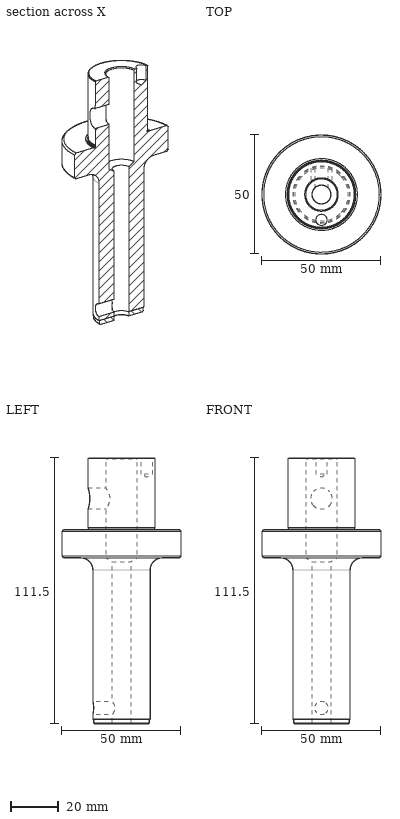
import cadquery as cq
import math

total_height = 111.5
spigot_height = 30.0
flange_height = 11.9
flange_top = total_height - spigot_height
flange_bottom = flange_top - flange_height

shank_radius = 12.0
shank_edge_chamfer = 0.3
shank_fillet = 5.0
flange_radius = 25.0
flange_chamfer = 0.8
spigot_radius = 14.0
spigot_chamfer = 0.3

groove_outer_radius = 15.0
groove_depth = 0.2
groove_taper = 0.7
groove_height = 0.9

bore_radius = 6.6
bore_chamfer = 0.5
through_radius = 3.9
drill_tip_angle = 118.0
bore_floor = flange_bottom

pin_hole_radius = 2.3
pin_hole_offset = 10.6
pin_hole_depth = 6.7

spigot_hole_radius = 4.5
spigot_hole_height = total_height - 17.1
shank_hole_radius = 2.8
shank_hole_height = 6.8

ring_radius = 11.7
ring_height = 1.9
ring_chamfer = 0.6


def drill_tip_height(large_radius, small_radius=0.0):
    """Height of the cone that a drill leaves between two radii."""
    return (large_radius - small_radius) / math.tan(math.radians(drill_tip_angle / 2))


def revolved(profile):
    """Turn an (R, Z) profile about the Z axis."""
    return profile.close().revolve(360, (0, 0, 0), (0, 1, 0))


def turned_blank():
    """Shank, flange and spigot, with the relief groove between the last two."""
    groove_radius = spigot_radius - groove_depth
    profile = (
        cq.Workplane("XZ")
        .moveTo(0, ring_height)
        .lineTo(shank_radius - shank_edge_chamfer, ring_height)
        .lineTo(shank_radius, ring_height + shank_edge_chamfer)
        .lineTo(shank_radius, flange_bottom - shank_fillet)
        .radiusArc((shank_radius + shank_fillet, flange_bottom), shank_fillet)
        .lineTo(flange_radius - flange_chamfer, flange_bottom)
        .lineTo(flange_radius, flange_bottom + flange_chamfer)
        .lineTo(flange_radius, flange_top - flange_chamfer)
        .lineTo(flange_radius - flange_chamfer, flange_top)
        .lineTo(groove_outer_radius, flange_top)
        .lineTo(groove_outer_radius - groove_taper, flange_top - groove_depth)
        .lineTo(groove_radius, flange_top - groove_depth)
        .lineTo(groove_radius, flange_top + groove_height - groove_taper)
        .lineTo(spigot_radius, flange_top + groove_height)
        .lineTo(spigot_radius, total_height - spigot_chamfer)
        .lineTo(spigot_radius - spigot_chamfer, total_height)
        .lineTo(0, total_height)
    )
    return revolved(profile)


def axial_bore():
    """Wide bore from the spigot end, with a cone down to the narrow through bore."""
    cone_bottom = bore_floor - drill_tip_height(bore_radius, through_radius)
    profile = (
        cq.Workplane("XZ")
        .moveTo(0, 0)
        .lineTo(through_radius, 0)
        .lineTo(through_radius, cone_bottom)
        .lineTo(bore_radius, bore_floor)
        .lineTo(bore_radius, total_height - bore_chamfer)
        .lineTo(bore_radius + bore_chamfer, total_height)
        .lineTo(0, total_height)
    )
    return revolved(profile)


def pin_hole():
    """Blind drilled hole with a conical bottom."""
    floor = total_height - pin_hole_depth
    profile = (
        cq.Workplane("XZ")
        .moveTo(0, floor - drill_tip_height(pin_hole_radius))
        .lineTo(pin_hole_radius, floor)
        .lineTo(pin_hole_radius, total_height)
        .lineTo(0, total_height)
    )
    return revolved(profile).translate((0, -pin_hole_offset, 0))


def radial_hole(radius, height):
    """Hole from the axis out through the +Y side."""
    return cq.Workplane("XZ").center(0, height).circle(radius).extrude(-flange_radius)


def make_holder():
    return (
        turned_blank()
        .cut(axial_bore())
        .cut(pin_hole())
        .cut(radial_hole(spigot_hole_radius, spigot_hole_height))
        .cut(radial_hole(shank_hole_radius, shank_hole_height))
    )


def make_end_ring():
    return (
        cq.Workplane("XY")
        .circle(ring_radius)
        .extrude(ring_height)
        .faces("<Z")
        .chamfer(ring_chamfer)
        .cut(axial_bore())
    )


holder = make_holder()
end_ring = make_end_ring()
result = cq.Compound.makeCompound([holder.val(), end_ring.val()])